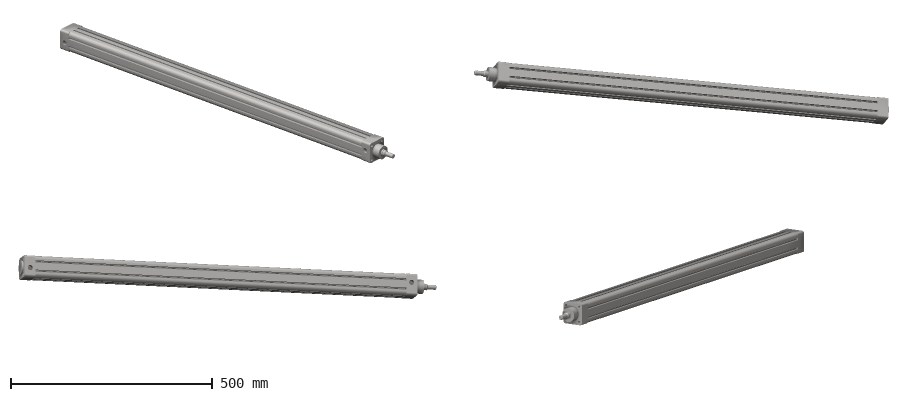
import cadquery as cq

OVERALL_LENGTH = 1063.0
REAR_BOSS_LENGTH = 4.0
ROD_REACH = 32.0
THREAD_LENGTH = 22.0
CAP_LENGTH = 28.0
FRONT_BOSS_LENGTH = 20.0

REAR_FACE = REAR_BOSS_LENGTH
SHOULDER = OVERALL_LENGTH - THREAD_LENGTH
FRONT_FACE = SHOULDER - ROD_REACH
BARREL_START = REAR_FACE + CAP_LENGTH
BARREL_END = FRONT_FACE - CAP_LENGTH

SIDE = 54.0
HALF_SIDE = SIDE / 2
CAP_CORNER_RADIUS = 5.0
BARREL_CORNER_RADIUS = 9.0

BOSS_DIAMETER = 35.0
LIP_DIAMETER = 18.0
LIP_LENGTH = 3.0

ROD_DIAMETER = 16.0
THREAD_DIAMETER = 12.0
THREAD_CHAMFER = 1.0
SHOULDER_CHAMFER = (ROD_DIAMETER - THREAD_DIAMETER) / 2

SCREW_OFFSET = 19.0
SCREW_HOLE_DIAMETER = 6.0
SCREW_HOLE_DEPTH = 16.0

PORT_DIAMETER = 13.0
PORT_DEPTH = 11.0
PORT_INSET = 15.0
PORT_RAISE = 4.8

SLOT_OFFSET = 12.0
SLOT_MOUTH_WIDTH = 5.0
SLOT_MOUTH_DEPTH = 6.0
SLOT_INNER_WIDTH = 2.0
SLOT_DEPTH = 9.0

GROOVE_OFFSET = 8.0
GROOVE_WIDTH = 5.0
GROOVE_DEPTH = 3.0


def bar(start, length, diameter):
    """Round bar along X."""
    return cq.Workplane("YZ", origin=(start, 0, 0)).circle(diameter / 2).extrude(length)


def rounded_square(start, length, radius):
    """Square bar along X with rounded long edges."""
    block = cq.Workplane("YZ", origin=(start, 0, 0)).rect(SIDE, SIDE).extrude(length)
    return block.edges("|X").fillet(radius)


def screw_holes(start, length):
    """Four round cutters on the mounting square."""
    square = 2 * SCREW_OFFSET
    return (
        cq.Workplane("YZ", origin=(start, 0, 0))
        .rect(square, square, forConstruction=True)
        .vertices()
        .circle(SCREW_HOLE_DIAMETER / 2)
        .extrude(length)
    )


def port(x, z):
    """Round cutter entering a cap from the -Y side."""
    return (
        cq.Workplane("XZ", origin=(x, -HALF_SIDE, z))
        .circle(PORT_DIAMETER / 2)
        .extrude(-PORT_DEPTH)
    )


def make_rear_cap():
    cap = rounded_square(REAR_FACE, CAP_LENGTH, CAP_CORNER_RADIUS)
    cap = cap.union(bar(0, REAR_BOSS_LENGTH, BOSS_DIAMETER))
    cap = cap.cut(screw_holes(REAR_FACE, SCREW_HOLE_DEPTH))
    return cap.cut(port(REAR_FACE + PORT_INSET, -PORT_RAISE))


def make_front_cap():
    rod_hole_length = CAP_LENGTH + FRONT_BOSS_LENGTH + LIP_LENGTH
    cap = rounded_square(BARREL_END, CAP_LENGTH, CAP_CORNER_RADIUS)
    cap = cap.union(bar(FRONT_FACE, FRONT_BOSS_LENGTH, BOSS_DIAMETER))
    cap = cap.union(bar(FRONT_FACE + FRONT_BOSS_LENGTH, LIP_LENGTH, LIP_DIAMETER))
    cap = cap.cut(screw_holes(FRONT_FACE - SCREW_HOLE_DEPTH, SCREW_HOLE_DEPTH))
    cap = cap.cut(port(FRONT_FACE - PORT_INSET, PORT_RAISE))
    return cap.cut(bar(BARREL_END, rod_hole_length, ROD_DIAMETER))


def barrel_cutter(y, z, y_size, z_size):
    """Rectangular cutter running the whole barrel, centred on (y, z)."""
    return (
        cq.Workplane("YZ", origin=(BARREL_START, 0, 0))
        .center(y, z)
        .rect(y_size, z_size)
        .extrude(BARREL_END - BARREL_START)
    )


def make_barrel():
    barrel = rounded_square(BARREL_START, BARREL_END - BARREL_START, BARREL_CORNER_RADIUS)
    for face in (-HALF_SIDE, HALF_SIDE):
        for z in (-SLOT_OFFSET, SLOT_OFFSET):
            barrel = barrel.cut(barrel_cutter(face, z, 2 * SLOT_MOUTH_DEPTH, SLOT_MOUTH_WIDTH))
            barrel = barrel.cut(barrel_cutter(face, z, 2 * SLOT_DEPTH, SLOT_INNER_WIDTH))
        for y in (-GROOVE_OFFSET, GROOVE_OFFSET):
            barrel = barrel.cut(barrel_cutter(y, face, GROOVE_WIDTH, 2 * GROOVE_DEPTH))
    return barrel


def make_rod():
    rod = bar(BARREL_END, SHOULDER - BARREL_END, ROD_DIAMETER)
    rod = rod.faces(">X").chamfer(SHOULDER_CHAMFER)
    thread = bar(SHOULDER, THREAD_LENGTH, THREAD_DIAMETER)
    thread = thread.faces(">X").chamfer(THREAD_CHAMFER)
    return rod.union(thread)


rear_cap = make_rear_cap()
front_cap = make_front_cap()
barrel = make_barrel()
rod = make_rod()

result = cq.Compound.makeCompound([rear_cap.val(), barrel.val(), front_cap.val(), rod.val()])